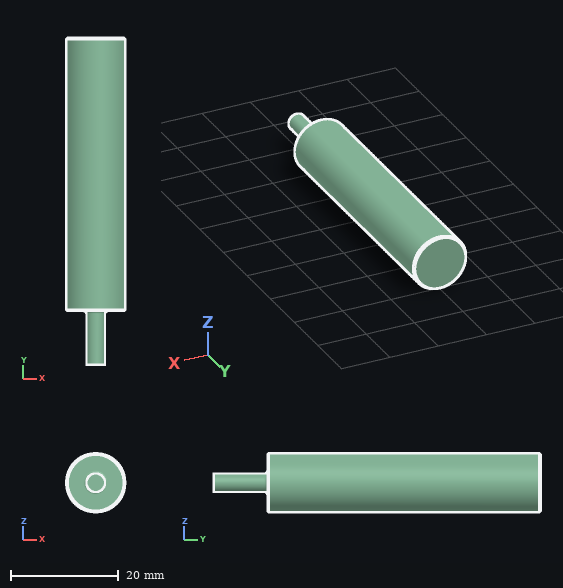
import cadquery as cq

total_length = 60.8
body_diameter = 11.0
shaft_diameter = 3.45
shaft_length = 10.0
body_chamfer = 0.3
root_fillet = 0.5

body_radius = body_diameter / 2
shaft_radius = shaft_diameter / 2
corner_radius = body_radius - body_chamfer

profile = (
    cq.Workplane("XY")
    .moveTo(0, 0)
    .lineTo(shaft_radius, 0)
    .lineTo(shaft_radius, shaft_length - root_fillet)
    .radiusArc((shaft_radius + root_fillet, shaft_length), root_fillet)
    .lineTo(corner_radius, shaft_length)
    .lineTo(body_radius, shaft_length + body_chamfer)
    .lineTo(body_radius, total_length - body_chamfer)
    .lineTo(corner_radius, total_length)
    .lineTo(0, total_length)
    .close()
)

result = profile.revolve(360, (0, 0, 0), (0, 1, 0)).translate((0, -total_length / 2, 0))